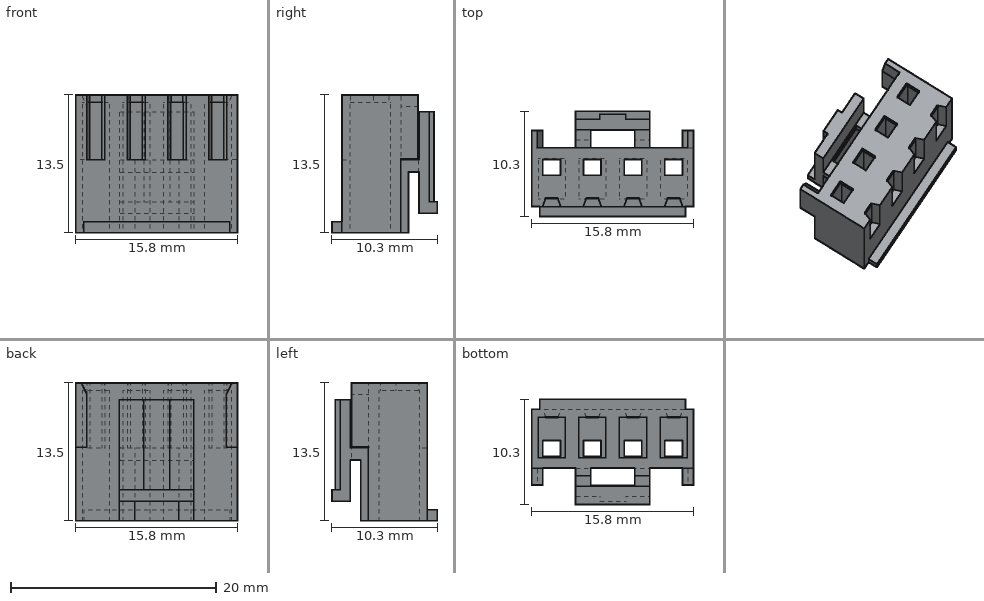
import cadquery as cq

width = 15.78
height = 13.46
depth = 5.75

terminal_count = 4
pitch = 3.96
hole_width = 1.69
hole_front = 3.08
hole_back = 4.58
roof_thickness = 0.74

cavity_front = 0.79
cavity_back = hole_back + 0.15
cavity_width = hole_width + 0.95

slot_mouth = 1.77
slot_inner = 1.15
slot_depth = 0.84
slot_bottom = 7.15

lip_width = 14.2
lip_height = 1.1
lip_reach = 0.96

ear_back = 7.42
ear_bottom = 7.2
ear_thickness = 1.09
ear_tip_thickness = 0.55
ear_taper_height = 1.1

latch_width = 7.26
latch_gap = 4.26
leg_back = 6.5
bridge_bottom = 5.93
bridge_top = 7.13
arm_front = 7.5
arm_back = 8.5
arm_bottom = 1.91
arm_top = 11.82
hook_back = 9.3
hook_top = 3.05
rib_width = 2.55
rib_back = 9.0


def block(x_center, x_size, y_min, y_max, z_min, z_max):
    """Box centred on x_center, between the given Y and Z limits."""
    size = cq.Workplane("XY").box(x_size, y_max - y_min, z_max - z_min, centered=(True, False, False))
    return size.translate((x_center, y_min, z_min))


def make_ear():
    """Ear on the +X side, with a sloped inner face at the top."""
    outer = width / 2
    profile = [
        (outer, ear_bottom),
        (outer, height),
        (outer - ear_tip_thickness, height),
        (outer - ear_thickness, height - ear_taper_height),
        (outer - ear_thickness, ear_bottom),
    ]
    ear = cq.Workplane("XZ").polyline(profile).close().extrude(depth - ear_back)
    return ear.translate((0, depth, 0))


def make_slot(x_center):
    """Slot narrowing from the front face inward, open at the top."""
    profile = [
        (x_center - slot_mouth / 2, 0),
        (x_center + slot_mouth / 2, 0),
        (x_center + slot_inner / 2, slot_depth),
        (x_center - slot_inner / 2, slot_depth),
    ]
    slot = cq.Workplane("XY").workplane(offset=slot_bottom)
    return slot.polyline(profile).close().extrude(height - slot_bottom)


def make_latch():
    """Hooked arm joined to the rear face by two legs and a slotted bridge."""
    profile = [
        (depth, 0),
        (leg_back, 0),
        (leg_back, bridge_bottom),
        (arm_front, bridge_bottom),
        (arm_front, arm_bottom),
        (hook_back, arm_bottom),
        (hook_back, hook_top),
        (arm_back, hook_top),
        (arm_back, arm_top),
        (arm_front, arm_top),
        (arm_front, bridge_top),
        (depth, bridge_top),
    ]
    latch = cq.Workplane("YZ").polyline(profile).close().extrude(latch_width / 2, both=True)
    latch = latch.cut(block(0, latch_gap, depth, ear_back, 0, bridge_top))
    return latch.union(block(0, rib_width, arm_back, rib_back, hook_top, arm_top))


body = block(0, width, 0, depth, 0, height)
body = body.union(block(0, lip_width, -lip_reach, 0, 0, lip_height))

ear = make_ear()
body = body.union(ear).union(ear.mirror("YZ"))

for index in range(terminal_count):
    x = (index - (terminal_count - 1) / 2) * pitch
    body = body.cut(block(x, hole_width, hole_front, hole_back, 0, height))
    body = body.cut(block(x, cavity_width, cavity_front, cavity_back, 0, height - roof_thickness))
    body = body.cut(make_slot(x))

result = body.union(make_latch())